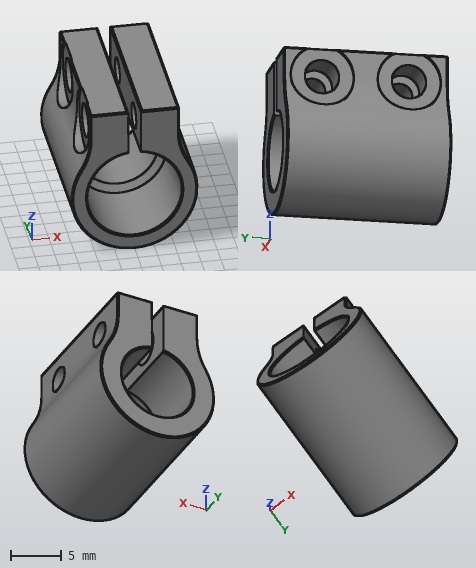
import cadquery as cq
import math

length = 16.57
outer_diameter = 12.68
outer_radius = outer_diameter / 2
overall_height = 15.82
ear_half_width = 4.47
neck_radius = 6.63
slot_width = 1.3
edge_chamfer = 0.13

small_bore_radius = 3.98
large_bore_radius = 4.77
large_bore_depth = 8.24
bore_step_angle = 59.0

screw_spacing = 8.78
screw_height = 6.66
clearance_radius = 1.72
thread_radius = 1.3
counterbore_radius = 3.18
counterbore_floor = 4.26

top = overall_height - outer_radius
front = -length / 2
back = length / 2

neck_center_x = ear_half_width + neck_radius
center_distance = outer_radius + neck_radius
neck_center_z = math.sqrt(center_distance**2 - neck_center_x**2)
tangent_x = outer_radius * neck_center_x / center_distance
tangent_z = outer_radius * neck_center_z / center_distance
neck_mid_angle = math.atan2(neck_center_z, neck_center_x) / 2
neck_mid_x = neck_center_x - neck_radius * math.cos(neck_mid_angle)
neck_mid_z = neck_center_z - neck_radius * math.sin(neck_mid_angle)


def make_body():
    """Round body topped by a clamping block, chamfered around its ends and its top."""
    body = (
        cq.Workplane("XZ", origin=(0, back, 0))
        .moveTo(-ear_half_width, top)
        .lineTo(ear_half_width, top)
        .lineTo(ear_half_width, neck_center_z)
        .threePointArc((neck_mid_x, neck_mid_z), (tangent_x, tangent_z))
        .threePointArc((0, -outer_radius), (-tangent_x, tangent_z))
        .threePointArc((-neck_mid_x, neck_mid_z), (-ear_half_width, neck_center_z))
        .close()
        .extrude(length)
    )
    return body.edges("<Y or >Y or >Z").chamfer(edge_chamfer)


def make_slot():
    """Clamping slot between the ears, with its long top edges chamfered."""
    mouth_half_width = slot_width / 2 + edge_chamfer
    return (
        cq.Workplane("XZ", origin=(0, back, 0))
        .moveTo(-slot_width / 2, 0)
        .lineTo(slot_width / 2, 0)
        .lineTo(slot_width / 2, top - edge_chamfer)
        .lineTo(mouth_half_width, top)
        .lineTo(-mouth_half_width, top)
        .lineTo(-slot_width / 2, top - edge_chamfer)
        .close()
        .extrude(length)
    )


def make_bore():
    """Stepped bore: wide at the front, conical step, narrow to the back, both rims chamfered."""
    step_start = front + large_bore_depth
    step_length = (large_bore_radius - small_bore_radius) / math.tan(math.radians(bore_step_angle))
    return (
        cq.Workplane("XY")
        .moveTo(0, front)
        .lineTo(large_bore_radius + edge_chamfer, front)
        .lineTo(large_bore_radius, front + edge_chamfer)
        .lineTo(large_bore_radius, step_start)
        .lineTo(small_bore_radius, step_start + step_length)
        .lineTo(small_bore_radius, back - edge_chamfer)
        .lineTo(small_bore_radius + edge_chamfer, back)
        .lineTo(0, back)
        .close()
        .revolve(360, (0, 0, 0), (0, 1, 0))
    )


def x_cylinder(radius, start_x, end_x, y):
    """Cylinder along X at screw height."""
    return (
        cq.Workplane("YZ", origin=(start_x, y, screw_height))
        .circle(radius)
        .extrude(end_x - start_x)
    )


def make_screw_hole(y):
    """Counterbore and clearance hole in the -X ear, thread hole in the +X ear."""
    counterbore = x_cylinder(counterbore_radius, -outer_radius, -counterbore_floor, y)
    clearance = x_cylinder(clearance_radius, -outer_radius, 0, y)
    thread = x_cylinder(thread_radius, 0, outer_radius, y)
    return counterbore.union(clearance).union(thread)


result = make_body().cut(make_slot()).cut(make_bore())
for screw_y in (-screw_spacing / 2, screw_spacing / 2):
    result = result.cut(make_screw_hole(screw_y))